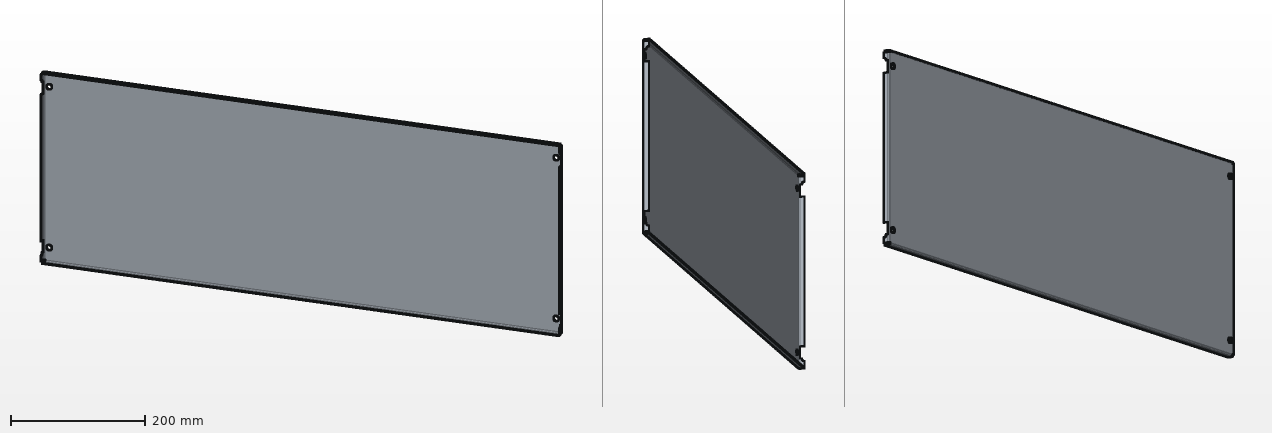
import cadquery as cq

length = 847.0
depth = 10.0
height = 300.0

sheet = 1.5
outer_bend = 3.0
inner_bend = outer_bend - sheet

corner_relief = 3.0
wall_setback = 2.1

tab_end = 16.0
tab_rounding = 4.0
side_wall_end = 35.0

hole_diameter = 8.5
hole_spacing_x = 827.0
hole_spacing_z = 252.0

back = depth / 2
front = -depth / 2
bend_front = back - outer_bend


def folded_tray():
    """Panel with a rim folded forward on all four sides."""
    outside = cq.Workplane("XY").box(length, depth, height).faces(">Y").edges().fillet(outer_bend)
    inside = (
        cq.Workplane("XY")
        .box(length - 2 * sheet, depth, height - 2 * sheet)
        .translate((0, -sheet, 0))
        .faces(">Y")
        .edges()
        .fillet(inner_bend)
    )
    return outside.cut(inside)


def corner_cuts(size_x, size_z, y_front, y_back):
    """Four rectangular cuts at the outer corners, between two depths."""
    return (
        cq.Workplane("XZ", origin=(0, y_back, 0))
        .rarray(length - size_x, height - size_z, 2, 2)
        .rect(size_x, size_z)
        .extrude(y_back - y_front)
    )


def side_wall_opening():
    """Upper opening through both side walls, in front of the bend, with the tab corner rounded."""
    tab_edge = height / 2 - tab_end
    wall_edge = height / 2 - side_wall_end
    return (
        cq.Workplane("YZ")
        .moveTo(bend_front, wall_edge)
        .lineTo(bend_front, tab_edge)
        .lineTo(front + tab_rounding, tab_edge)
        .radiusArc((front, tab_edge + tab_rounding), -tab_rounding)
        .lineTo(front, wall_edge)
        .close()
        .extrude(length / 2, both=True)
    )


def mounting_holes():
    """Four round holes near the corners of the panel."""
    return (
        cq.Workplane("XZ", origin=(0, back, 0))
        .rarray(hole_spacing_x, hole_spacing_z, 2, 2)
        .circle(hole_diameter / 2)
        .extrude(sheet)
    )


upper_opening = side_wall_opening()
lower_opening = upper_opening.mirror("XY")

result = (
    folded_tray()
    .cut(corner_cuts(corner_relief, corner_relief, bend_front, back))
    .cut(corner_cuts(wall_setback, corner_relief, front, bend_front))
    .cut(upper_opening)
    .cut(lower_opening)
    .cut(mounting_holes())
)